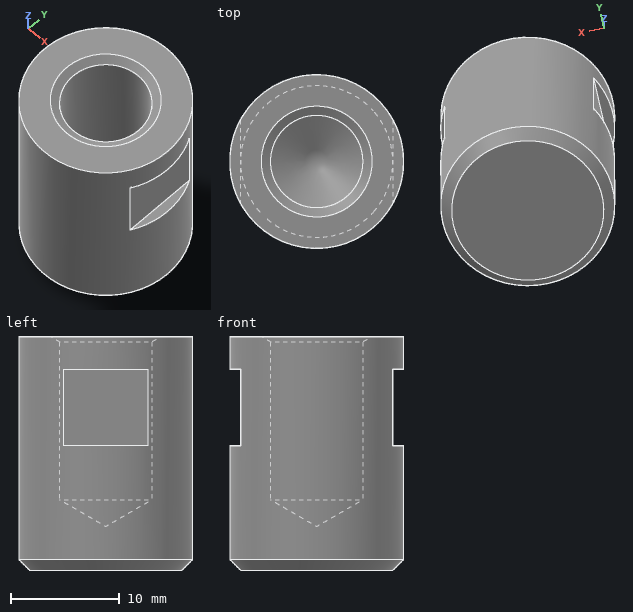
import cadquery as cq
import math

height = 21.5
diameter = 16.0
base_chamfer = 1.0

across_flats = 14.0
flat_height = 7.0
flat_top_gap = 3.0

bore_diameter = 8.5
bore_depth = 15.0
mouth_diameter = 10.2
mouth_angle = 120.0
drill_point_angle = 120.0


def cone_depth(radial_step, included_angle):
    """Axial length of a cone that widens by radial_step."""
    return radial_step / math.tan(math.radians(included_angle / 2))


def make_body():
    body = cq.Workplane("XY").circle(diameter / 2).extrude(height)
    return body.faces("<Z").chamfer(base_chamfer)


def make_bore():
    """Revolve the half profile of the hole about the Z axis."""
    bore_radius = bore_diameter / 2
    mouth_radius = mouth_diameter / 2
    mouth_depth = cone_depth(mouth_radius - bore_radius, mouth_angle)
    floor_z = height - bore_depth
    tip_z = floor_z - cone_depth(bore_radius, drill_point_angle)
    profile = cq.Workplane("XZ").polyline([
        (0, tip_z),
        (bore_radius, floor_z),
        (bore_radius, height - mouth_depth),
        (mouth_radius, height),
        (0, height),
    ]).close()
    return profile.revolve(360, (0, 0), (0, 1))


def make_flat_cutter(side):
    """Block beyond one wrench flat; side is -1 or +1 along X."""
    block_depth = diameter / 2
    center_x = side * (across_flats + block_depth) / 2
    center_z = height - flat_top_gap - flat_height / 2
    block = cq.Workplane("XY").box(block_depth, diameter, flat_height)
    return block.translate((center_x, 0, center_z))


result = make_body().cut(make_bore())
for side in (-1, 1):
    result = result.cut(make_flat_cutter(side))